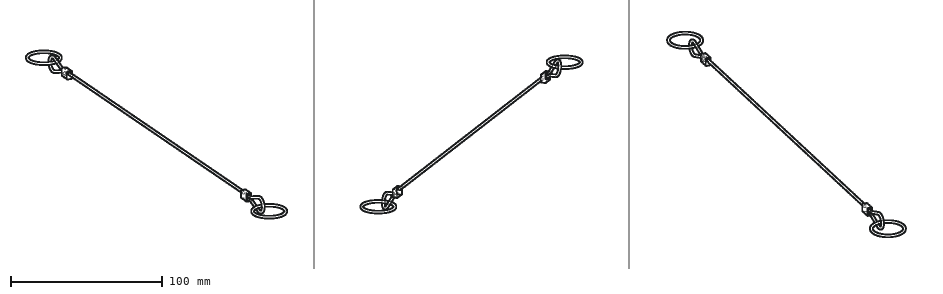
import cadquery as cq
import math

OVERALL_LENGTH = 343.0

RING_OUTER_DIAMETER = 24.0
RING_WIRE_DIAMETER = 2.0
ring_wire_radius = RING_WIRE_DIAMETER / 2
ring_mean_radius = RING_OUTER_DIAMETER / 2 - ring_wire_radius
ring_center_x = OVERALL_LENGTH / 2 - RING_OUTER_DIAMETER / 2

SLEEVE_LENGTH = 7.5
SLEEVE_WIDTH = 3.8
SLEEVE_HEIGHT = 6.0
SLEEVE_EDGE_RADIUS = 0.7
SLEEVE_INNER_END_X = 123.0

CABLE_DIAMETER = 2.0
EYE_HEIGHT = 12.0
EYE_CENTER_X = 146.0
NECK_RADIUS = 5.0
NECK_END_X = 133.0
cable_radius = CABLE_DIAMETER / 2
strand_z = cable_radius
eye_radius = EYE_HEIGHT / 2 - cable_radius

neck_center_z = strand_z + NECK_RADIUS
center_dx = NECK_END_X - EYE_CENTER_X
center_spacing = math.hypot(center_dx, neck_center_z)
flank_normal = math.atan2(neck_center_z, center_dx) - math.acos((eye_radius + NECK_RADIUS) / center_spacing)


def point_on_arc(center_x, center_z, radius, angle):
    """Point in the XZ plane at an angle measured from +X toward +Z."""
    return (center_x + radius * math.cos(angle), center_z + radius * math.sin(angle))


def mirrored(point):
    """The same point on the lower strand."""
    x, z = point
    return (x, -z)


def make_ring(side):
    """Closed round-wire ring at the left (side = -1) or right (side = 1) end."""
    ring = cq.Solid.makeTorus(ring_mean_radius, ring_wire_radius)
    return ring.translate(cq.Vector(side * ring_center_x, 0, 0))


def make_eye():
    """Right-hand eye: out along the upper strand, round the tip and back along the lower strand."""
    neck_tangent_angle = flank_normal + math.pi
    neck_bottom_angle = 1.5 * math.pi
    neck_middle_angle = (neck_tangent_angle + neck_bottom_angle) / 2

    strand_start = (SLEEVE_INNER_END_X, strand_z)
    neck_end = (NECK_END_X, strand_z)
    neck_middle = point_on_arc(NECK_END_X, neck_center_z, NECK_RADIUS, neck_middle_angle)
    neck_tangent = point_on_arc(NECK_END_X, neck_center_z, NECK_RADIUS, neck_tangent_angle)
    eye_tangent = point_on_arc(EYE_CENTER_X, 0, eye_radius, flank_normal)
    eye_tip = (EYE_CENTER_X + eye_radius, 0)

    path = (
        cq.Workplane("XZ")
        .moveTo(*strand_start)
        .lineTo(*neck_end)
        .threePointArc(neck_middle, neck_tangent)
        .lineTo(*eye_tangent)
        .threePointArc(eye_tip, mirrored(eye_tangent))
        .lineTo(*mirrored(neck_tangent))
        .threePointArc(mirrored(neck_middle), mirrored(neck_end))
        .lineTo(*mirrored(strand_start))
    )
    section = cq.Workplane("YZ", origin=(SLEEVE_INNER_END_X, 0, strand_z)).circle(cable_radius)
    return section.sweep(path)


def make_sleeve():
    """Right-hand crimp sleeve."""
    return (
        cq.Workplane("YZ", origin=(SLEEVE_INNER_END_X, 0, 0))
        .rect(SLEEVE_WIDTH, SLEEVE_HEIGHT)
        .extrude(SLEEVE_LENGTH)
        .edges("|X")
        .fillet(SLEEVE_EDGE_RADIUS)
    )


def make_cable():
    """Straight cable between the sleeves, in line with the upper strands of the eyes."""
    return (
        cq.Workplane("YZ", origin=(-SLEEVE_INNER_END_X, 0, strand_z))
        .circle(cable_radius)
        .extrude(2 * SLEEVE_INNER_END_X)
    )


def make_cable_assembly():
    """Cable with the eye and crimped sleeve at both ends, as one solid."""
    right_end = make_sleeve().union(make_eye())
    left_end = right_end.mirror("YZ")
    return make_cable().union(right_end).union(left_end)


cable_assembly = make_cable_assembly()
rings = [make_ring(side) for side in (-1, 1)]

result = cq.Compound.makeCompound([*cable_assembly.vals(), *rings])